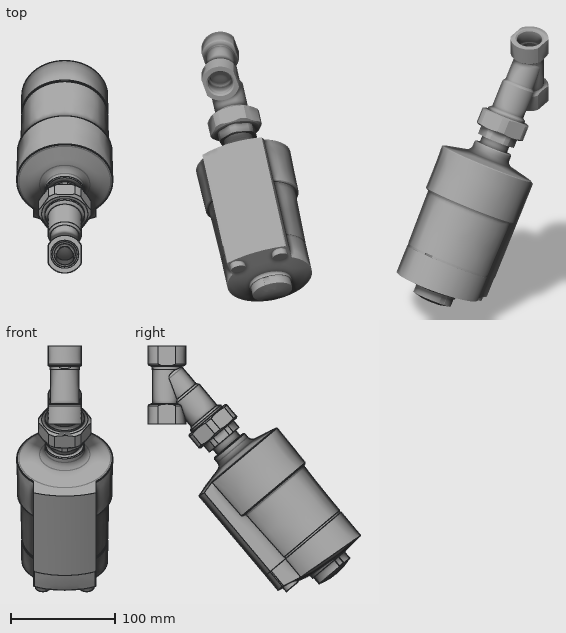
import cadquery as cq
import math

AXIS_TILT = 40.0
AXIS_DIRECTION = (0, math.sin(math.radians(AXIS_TILT)), -math.cos(math.radians(AXIS_TILT)))

PIPE_TOP = 24.5
PIPE_LENGTH = 75.0
FLANGE_D = 36.4
FLANGE_ACROSS_FLATS = 32.0
FLANGE_RIM = 17.5
FLANGE_CHAMFER = 1.2
FLANGE_LENGTH = 19.8
NECK_D = 27.5
NECK_COLLAR_D = 28.5
NECK_COLLAR_END = 22.7
THREAD_D = 24.0
THREAD_DEPTH = 14.2
THREAD_MOUTH_D = 27.0
THREAD_CHAMFER = (THREAD_MOUTH_D - THREAD_D) / 2
PORT_D = 20.3
PORT_DEPTH = 19.8
SEAT_D = 17.2
SEAT_STATION = 1.5
SEAT_START = -10.6

BRANCH_D = 27.9
BRANCH_START = 0.2
BRANCH_ROUND = 6.4
BRANCH_STEP_START = 27.0
BRANCH_STEP_END = 29.3
BRANCH_THICK_D = 32.0
COLLAR_D = 38.0
COLLAR_START = 55.7
COLLAR_SHOULDER = 58.0
COLLAR_END = 68.5

NUT_START = 60.2
NUT_END = 77.2
NUT_ACROSS_FLATS = 47.0
NUT_CORNER_D = 50.7
NUT_FACE_D = 44.4
NUT_CHAMFER = 1.7

BONNET_SPIGOT_D = 32.0
BONNET_HEX_ACROSS_FLATS = 34.5
BONNET_HEX_CORNER_D = 37.0
BONNET_HEX_END = 85.7
STEM_D = 28.0

RING_START = 92.8
RING_D = 38.0
RING_CHAMFER = 1.0
NECK_FILLET_START = 98.2
NECK_FILLET_END = 104.0
NECK_FILLET_D = 48.5
HEAD_SLOPE = 13.0
RIM_D = 88.3
RIM_SLOPE = 17.0
HEAD_D = 92.5
HEAD_CHAMFER = 0.7
HEAD_START = 109.8
HEAD_END = 152.5
HEAD_END_D = 91.0
HEAD_END_CHAMFER = 1.0
BARREL_FLARE = 0.5
BARREL_START = 154.8
BARREL_START_D = 85.0
BARREL_END_D = 82.5
SEAM_START = 209.0
SEAM_END = 211.0
SEAM_DEPTH = 0.5
PRY_NOTCH_WIDTH = 8.5
PRY_NOTCH_DEPTH = 2.4

RIB_WIDTH = 60.0
RIB_EDGE = 47.5
RIB_CREST = 53.3

COVER_D = 82.5
COVER_RIB_CHAMFER = 1.0
END_APEX = 243.8
END_TILT = 5.0
END_SLOPE = 10.0
PORT_BOSS_D = 14.6
PORT_BOSS_SPACING = 42.0
PORT_BOSS_REACH = 40.8
PORT_BOSS_END = 235.8
KNOB_BASE_D = 41.0
KNOB_BASE_END = 242.2
KNOB_D = 38.7
KNOB_RIM_END = 250.2
KNOB_CROWN_END = 253.3
KNOB_GROOVES = 3
KNOB_GROOVE_WIDTH = 6.0
KNOB_GROOVE_DEPTH = 1.0
KNOB_GROOVE_END = 249.7


def axis_plane(station):
    """Plane square to the actuator axis at a station, local +Y towards the rib."""
    origin = tuple(station * component for component in AXIS_DIRECTION)
    return cq.Plane(origin=origin, xDir=(1, 0, 0), normal=AXIS_DIRECTION)


def rod(diameter, start, end):
    """Cylinder on the actuator axis between two stations."""
    return cq.Workplane(axis_plane(start)).circle(diameter / 2).extrude(end - start)


def axis_revolve(profile):
    """Turn a closed (radius, station) sketch about the actuator axis."""
    half_plane = cq.Plane(origin=(0, 0, 0), xDir=axis_plane(0).yDir, normal=(1, 0, 0))
    return profile(cq.Workplane(half_plane)).close().revolve(360, (0, 0, 0), (0, 1, 0))


def turned(points):
    """Turned solid from straight (diameter, station) points that start and end on the axis."""
    return axis_revolve(lambda sketch: sketch.polyline([(diameter / 2, station) for diameter, station in points]))


def hexagon(across_flats, corner_d, start, end, turn):
    """Hexagonal prism with its corners turned down to a diameter."""
    prism = (
        cq.Workplane(axis_plane(start))
        .transformed(rotate=(0, 0, turn))
        .polygon(6, across_flats, circumscribed=True)
        .extrude(end - start)
    )
    return prism.intersect(rod(corner_d, start, end))


def make_flanged_pipe():
    """Vertical pipe, outside only, with a flatted flange at each end."""
    rim_r = FLANGE_D / 2
    neck_r = NECK_D / 2
    collar_r = NECK_COLLAR_D / 2
    bottom = PIPE_TOP - PIPE_LENGTH
    shoulder = FLANGE_RIM + FLANGE_CHAMFER
    outline = [
        (0, bottom),
        (rim_r, bottom),
        (rim_r, bottom + FLANGE_RIM),
        (rim_r - FLANGE_CHAMFER, bottom + shoulder),
        (neck_r, bottom + FLANGE_LENGTH),
        (neck_r, PIPE_TOP - NECK_COLLAR_END),
        (collar_r, PIPE_TOP - NECK_COLLAR_END),
        (collar_r, PIPE_TOP - FLANGE_LENGTH),
        (rim_r - FLANGE_CHAMFER, PIPE_TOP - shoulder),
        (rim_r, PIPE_TOP - FLANGE_RIM),
        (rim_r, PIPE_TOP),
        (0, PIPE_TOP),
    ]
    pipe = cq.Workplane("XZ").polyline(outline).close().revolve(360, (0, 0, 0), (0, 1, 0))
    flats = cq.Workplane("XY", origin=(0, 0, bottom)).rect(FLANGE_ACROSS_FLATS, 2 * FLANGE_D)
    return pipe.intersect(flats.extrude(PIPE_LENGTH))


def make_port():
    """Blind threaded port, opening upwards at the top face of the pipe."""
    mouth_r = THREAD_MOUTH_D / 2
    thread_r = THREAD_D / 2
    port_r = PORT_D / 2
    outline = [
        (0, PIPE_TOP),
        (mouth_r, PIPE_TOP),
        (thread_r, PIPE_TOP - THREAD_CHAMFER),
        (thread_r, PIPE_TOP - THREAD_DEPTH),
        (port_r, PIPE_TOP - THREAD_DEPTH),
        (port_r, PIPE_TOP - PORT_DEPTH),
        (0, PIPE_TOP - PORT_DEPTH),
    ]
    return cq.Workplane("XZ").polyline(outline).close().revolve(360, (0, 0, 0), (0, 1, 0))


def make_branch():
    """Slanted branch with a rounded inner end and a stepped collar."""
    branch_r = BRANCH_D / 2

    def outline(sketch):
        return (
            sketch.moveTo(0, BRANCH_START)
            .lineTo(branch_r - BRANCH_ROUND, BRANCH_START)
            .tangentArcPoint((branch_r, BRANCH_START + BRANCH_ROUND), relative=False)
            .lineTo(branch_r, BRANCH_STEP_START)
            .lineTo(BRANCH_THICK_D / 2, BRANCH_STEP_END)
            .lineTo(BRANCH_THICK_D / 2, COLLAR_START)
            .lineTo(COLLAR_D / 2, COLLAR_SHOULDER)
            .lineTo(COLLAR_D / 2, COLLAR_END)
            .lineTo(0, COLLAR_END)
        )

    return axis_revolve(outline)


def make_valve_body():
    upper_port = make_port()
    middle = (0, 0, PIPE_TOP - PIPE_LENGTH / 2)
    lower_port = upper_port.rotate(middle, (1, 0, middle[2]), 180)
    seat_hole = rod(SEAT_D, SEAT_START, SEAT_STATION)
    solid = make_flanged_pipe().union(make_branch())
    return solid.cut(upper_port).cut(lower_port).cut(seat_hole)


def make_nut():
    blank = hexagon(NUT_ACROSS_FLATS, NUT_CORNER_D, NUT_START, NUT_END, 30)
    chamfer_envelope = turned([
        (0, NUT_START),
        (NUT_FACE_D, NUT_START),
        (NUT_CORNER_D, NUT_START + NUT_CHAMFER),
        (NUT_CORNER_D, NUT_END - NUT_CHAMFER),
        (NUT_FACE_D, NUT_END),
        (0, NUT_END),
    ])
    collar_bore = rod(COLLAR_D, NUT_START, COLLAR_END)
    spigot_bore = rod(BONNET_SPIGOT_D, COLLAR_END, NUT_END)
    return blank.intersect(chamfer_envelope).cut(collar_bore).cut(spigot_bore)


def make_bonnet():
    spigot = rod(BONNET_SPIGOT_D, COLLAR_END, NUT_END)
    hex_flange = hexagon(BONNET_HEX_ACROSS_FLATS, BONNET_HEX_CORNER_D, NUT_END, BONNET_HEX_END, 0)
    stem = rod(STEM_D, BONNET_HEX_END, RING_START)
    return spigot.union(hex_flange).union(stem)


def cone_rise(inner_d, outer_d, slope):
    """Station change of a sloping face between two diameters."""
    return (outer_d - inner_d) / 2 * math.tan(math.radians(slope))


RIM_START = NECK_FILLET_END + cone_rise(NECK_FILLET_D, RIM_D, HEAD_SLOPE)


def make_rib(start, end):
    """Rib block with straight sides and a bowed front, between two stations."""
    half_width = RIB_WIDTH / 2
    return (
        cq.Workplane(axis_plane(start))
        .moveTo(-half_width, 0)
        .lineTo(-half_width, RIB_EDGE)
        .threePointArc((0, RIB_CREST), (half_width, RIB_EDGE))
        .lineTo(half_width, 0)
        .close()
        .extrude(end - start)
    )


def make_housing():
    ring_r = RING_D / 2
    head_r = HEAD_D / 2
    edge_d = HEAD_D - 2 * HEAD_CHAMFER

    def outline(sketch):
        return (
            sketch.moveTo(0, RING_START)
            .lineTo(ring_r - RING_CHAMFER, RING_START)
            .lineTo(ring_r, RING_START + RING_CHAMFER)
            .lineTo(ring_r, NECK_FILLET_START)
            .tangentArcPoint((NECK_FILLET_D / 2, NECK_FILLET_END), relative=False)
            .lineTo(RIM_D / 2, RIM_START)
            .lineTo(edge_d / 2, RIM_START + cone_rise(RIM_D, edge_d, RIM_SLOPE))
            .lineTo(head_r, HEAD_START)
            .lineTo(HEAD_END_D / 2, HEAD_END)
            .lineTo(HEAD_END_D / 2 - HEAD_END_CHAMFER, HEAD_END + HEAD_END_CHAMFER)
            .lineTo(BARREL_START_D / 2 + BARREL_FLARE, HEAD_END + HEAD_END_CHAMFER)
            .lineTo(BARREL_START_D / 2, BARREL_START)
            .lineTo(BARREL_END_D / 2, SEAM_START)
            .lineTo(BARREL_END_D / 2 - SEAM_DEPTH, SEAM_START)
            .lineTo(BARREL_END_D / 2 - SEAM_DEPTH, SEAM_END)
            .lineTo(0, SEAM_END)
        )

    cone_d = 4 * RIB_CREST
    under_cone = turned([
        (0, RIM_START),
        (RIM_D, RIM_START),
        (cone_d, RIM_START + cone_rise(RIM_D, cone_d, RIM_SLOPE)),
        (cone_d, SEAM_END),
        (0, SEAM_END),
    ])
    rib = make_rib(RIM_START, SEAM_END).intersect(under_cone)
    notch = (
        cq.Workplane(axis_plane(SEAM_START))
        .center(0, -BARREL_END_D / 2)
        .rect(PRY_NOTCH_WIDTH, 2 * PRY_NOTCH_DEPTH)
        .extrude(SEAM_END - SEAM_START)
    )
    return axis_revolve(outline).union(rib).cut(notch)


def make_end_cone():
    """Everything above the shallow, leaning cone that closes the cover."""
    reach = 2 * RIB_CREST
    drop = reach * math.tan(math.radians(END_SLOPE))
    apex = axis_plane(END_APEX)
    pivot = apex.origin.toTuple()
    cone = turned([
        (0, END_APEX),
        (2 * reach, END_APEX - drop),
        (2 * reach, END_APEX - 3 * drop),
        (0, END_APEX - 3 * drop),
    ])
    return cone.rotate(pivot, (pivot[0] + 1, pivot[1], pivot[2]), -END_TILT)


def make_knob():
    """Domed knob with shallow grip grooves."""
    knob_r = KNOB_D / 2
    crown_rise = KNOB_CROWN_END - KNOB_RIM_END
    crown_r = (knob_r**2 + crown_rise**2) / (2 * crown_rise)
    crown_mid = (knob_r / 2, KNOB_CROWN_END - crown_r + math.sqrt(crown_r**2 - (knob_r / 2) ** 2))

    def outline(sketch):
        return (
            sketch.moveTo(0, SEAM_END)
            .lineTo(KNOB_BASE_D / 2, SEAM_END)
            .lineTo(KNOB_BASE_D / 2, KNOB_BASE_END)
            .lineTo(knob_r, KNOB_BASE_END)
            .lineTo(knob_r, KNOB_RIM_END)
            .threePointArc(crown_mid, (0, KNOB_CROWN_END))
        )

    knob = axis_revolve(outline)
    for index in range(KNOB_GROOVES):
        groove = (
            cq.Workplane(axis_plane(KNOB_BASE_END))
            .transformed(rotate=(0, 0, 90 + index * 360 / KNOB_GROOVES))
            .center(knob_r, 0)
            .rect(2 * KNOB_GROOVE_DEPTH, KNOB_GROOVE_WIDTH)
            .extrude(KNOB_GROOVE_END - KNOB_BASE_END)
        )
        knob = knob.cut(groove)
    return knob


def make_cover():
    along_axis = cq.selectors.ParallelDirSelector(cq.Vector(*AXIS_DIRECTION))
    rib = make_rib(SEAM_END, END_APEX).edges(along_axis).chamfer(COVER_RIB_CHAMFER)
    blank = rod(COVER_D, SEAM_END, END_APEX).union(rib)
    bosses = (
        cq.Workplane(axis_plane(SEAM_END))
        .center(0, PORT_BOSS_REACH)
        .rarray(PORT_BOSS_SPACING, 2.4, 2, 1)
        .circle(PORT_BOSS_D / 2)
        .extrude(PORT_BOSS_END - SEAM_END)
    )
    return blank.intersect(make_end_cone()).union(bosses).union(make_knob())


valve_body = make_valve_body()
nut = make_nut()
bonnet = make_bonnet()
housing = make_housing()
cover = make_cover()

result = cq.Compound.makeCompound([
    valve_body.val(),
    nut.val(),
    bonnet.val(),
    housing.val(),
    cover.val(),
])